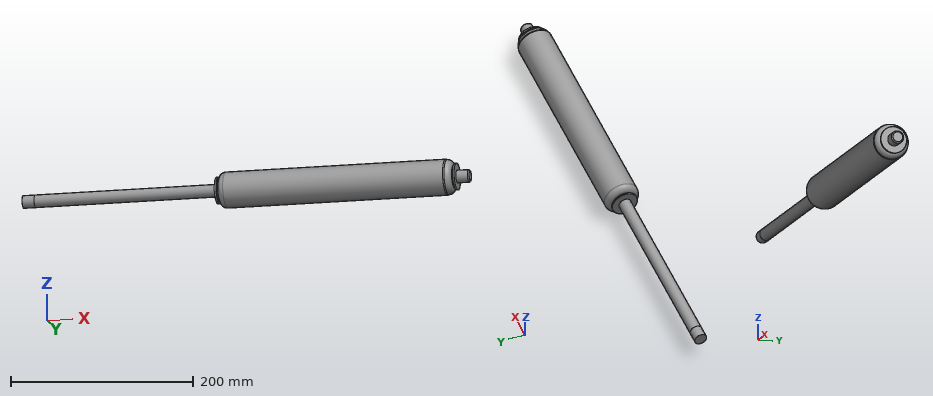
import cadquery as cq
import math

total_length = 505.0
tip_length = 13.5
front_face_x = 219.0
rear_face_x = 490.5

body_diameter = 40.0
cap_diameter = 39.0
rim_diameter = 30.0
neck_diameter = 25.0
rim_length = 2.0
neck_length = 1.5
edge_bevel_length = 1.5

rod_diameter = 14.0
stud_chamfer = 1.5

body_radius = body_diameter / 2
cap_radius = cap_diameter / 2
rim_radius = rim_diameter / 2
neck_radius = neck_diameter / 2
rod_radius = rod_diameter / 2

cap_seam_x = rear_face_x - rim_length - neck_length - (cap_radius - neck_radius)


def cylinder_x(start, end, diameter):
    """Solid cylinder on the X axis between two X positions."""
    return cq.Workplane("YZ", origin=(start, 0, 0)).circle(diameter / 2).extrude(end - start)


def rounded_end_outline(face_x, inward, bore_radius, outer_radius):
    """Open half outline of the rim, neck and shoulder at face_x, from the bore to the outer surface.

    inward is +1 or -1 and gives the direction along X from the face into the body.
    """
    shoulder_radius = outer_radius - neck_radius
    rim_x = face_x + inward * rim_length
    shoulder_x = rim_x + inward * neck_length
    tangent_x = shoulder_x + inward * shoulder_radius
    arc_middle_x = tangent_x - inward * shoulder_radius * math.sin(math.pi / 4)
    arc_middle_radius = neck_radius + shoulder_radius * math.cos(math.pi / 4)
    return (
        cq.Workplane("XY")
        .moveTo(face_x, bore_radius)
        .lineTo(face_x, rim_radius)
        .lineTo(rim_x, rim_radius)
        .lineTo(rim_x, neck_radius)
        .lineTo(shoulder_x, neck_radius)
        .threePointArc((arc_middle_x, arc_middle_radius), (tangent_x, outer_radius))
    )


def revolve_about_x(outline):
    """Close a half outline and turn it round the X axis."""
    return outline.close().revolve(360, (0, 0, 0), (1, 0, 0))


def make_housing():
    """Tube bored for the rod, with a bevelled edge where it meets the end cap."""
    outline = (
        rounded_end_outline(front_face_x, 1, rod_radius, body_radius)
        .lineTo(cap_seam_x - edge_bevel_length, body_radius)
        .lineTo(cap_seam_x, cap_radius)
        .lineTo(cap_seam_x, rod_radius)
    )
    return revolve_about_x(outline)


def make_end_cap():
    """Rear cap with its chamfered mounting stud."""
    outline = rounded_end_outline(rear_face_x, -1, 0, cap_radius).lineTo(cap_seam_x, 0)
    cap = revolve_about_x(outline)
    stud = cylinder_x(rear_face_x, total_length, rod_diameter).faces(">X").chamfer(stud_chamfer)
    return cap.union(stud)


rod_tip = cylinder_x(0, tip_length, rod_diameter)
rod = cylinder_x(tip_length, cap_seam_x, rod_diameter)
housing = make_housing()
end_cap = make_end_cap()

result = cq.Compound.makeCompound([rod_tip.val(), rod.val(), housing.val(), end_cap.val()])